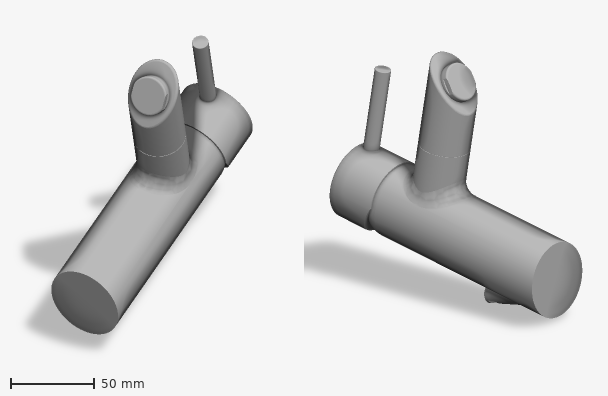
import cadquery as cq
import math

tilt = 10.0

pick_margin = 1.0

body_radius = 23.25
body_length = 126.2
dome_arc_radius = 16.0

cap_radius = 24.25
cap_front = 129.4
cap_back = 162.35
cap_edge_fillet = 1.7
relief_slope = 24.0

lever_radius = 5.0
lever_position = 153.7
lever_top = 77.6
lever_tip_fillet = 0.4
lever_root_fillet = 0.8

spout_radius = 15.95
spout_position = 99.3
spout_mouth_height = 93.5
spout_mouth_slope = 43.4
spout_mouth_curve = 180.0
spout_rim_fillet = 1.5
spout_root_front = 8.4
spout_root_side = 14.0
spout_root_back = 5.2
joint_height = 49.2
joint_groove_depth = 0.35
joint_groove_width = 0.4

aerator_radius = 12.0
aerator_elevation = 40.0
aerator_position = 93.4
aerator_height = 94.6
aerator_length = 8.0
aerator_edge_fillet = 1.2
flat_across = 21.7
flat_depth = 3.0

guide_radius = 5.7
guide_position = 48.5
guide_height = -29.4
guide_slope = 20.0
guide_length = 45.0
guide_notch_width = 7.4
guide_notch_floor = 3.6
guide_notch_depth = 2.6
guide_lip = 2.0


def rod(radius, start, direction, length):
    """Cylinder running from a start point along a direction."""
    cylinder = cq.Solid.makeCylinder(radius, length, cq.Vector(*start), cq.Vector(*direction))
    return cq.Workplane(cylinder)


def make_body():
    """Body cylinder; its front end is a vertical plane once the tap is tilted."""
    overrun = body_radius
    blank = rod(body_radius, (0, -overrun, 0), (0, 1, 0), body_length + overrun)
    front_cut = (
        cq.Workplane("XY")
        .box(4 * body_radius, 2 * overrun, 4 * body_radius)
        .translate((0, -overrun, 0))
        .rotate((0, 0, 0), (1, 0, 0), -tilt)
    )
    return blank.cut(front_cut)


def make_dome():
    """Rounded back end of the body, tangent to its cylinder."""
    return (
        cq.Workplane("XY")
        .moveTo(0, body_length)
        .lineTo(body_radius, body_length)
        .radiusArc((body_radius - dome_arc_radius, body_length + dome_arc_radius), -dome_arc_radius)
        .lineTo(0, body_length + dome_arc_radius)
        .close()
        .revolve(360, (0, 0, 0), (0, 1, 0))
    )


def make_cap():
    """Cap with its lower front edge cut back at a slope."""
    cap = rod(cap_radius, (0, cap_front, 0), (0, 1, 0), cap_back - cap_front)
    cap = cap.faces(">Y").edges().fillet(cap_edge_fillet)
    relief_height = 2 * cap_radius
    relief_run = relief_height * math.tan(math.radians(relief_slope))
    relief = (
        cq.Workplane("YZ")
        .polyline([(cap_front, 0), (cap_front + relief_run, -relief_height), (cap_front, -relief_height)])
        .close()
        .extrude(cap_radius, both=True)
    )
    return cap.cut(relief)


def add_lever(cap):
    """Upright round lever with a small fillet where it meets the cap."""
    lever = rod(lever_radius, (0, lever_position, 0), (0, 0, 1), lever_top)
    lever = lever.faces(">Z").edges().fillet(lever_tip_fillet)
    root_zone = cq.selectors.BoxSelector(
        (-cap_radius / 2, lever_position - 2 * lever_radius, cap_radius / 2),
        (cap_radius / 2, lever_position + 2 * lever_radius, cap_radius + pick_margin),
        boundingbox=True,
    )
    return cap.union(lever).edges(root_zone).fillet(lever_root_fillet)


def add_spout_root(body):
    """Lower spout with a root fillet that is widest at the sides and tightest at the back."""
    stub_base = cq.Vector(0, spout_position, 0)
    upward = cq.Vector(0, 0, 1)
    half_stub = cq.Solid.makeCylinder(spout_radius, joint_height, stub_base, upward, 180)
    joined = body
    for turn in (0, 180):
        half = half_stub.rotate(stub_base, stub_base + upward, turn)
        joined = joined.union(cq.Workplane(half), clean=False)
    pick_reach = spout_radius + pick_margin
    root_zone = cq.selectors.BoxSelector(
        (-pick_reach, spout_position - pick_reach, 0),
        (pick_reach, spout_position + pick_reach, body_radius + pick_margin),
        boundingbox=True,
    )
    root_edges = joined.edges(root_zone)
    root_vertices = root_edges.vertices()
    radii = [
        ("<Y", spout_root_front),
        (">Y", spout_root_back),
        ("<X", spout_root_side),
        (">X", spout_root_side),
    ]
    blend = cq.occ_impl.shapes.BRepFilletAPI_MakeFillet(joined.val().wrapped)
    contour = 1
    blend.Add(root_edges.val().wrapped)
    for end, radius in radii:
        blend.SetRadius(radius, contour, root_vertices.vertices(end).val().wrapped)
    return cq.Workplane(cq.Shape.cast(blend.Shape()))


def make_spout_end():
    """Upper spout with a sloping, slightly domed mouth, and the ring that grooves the joint below it."""
    tube_length = spout_mouth_height - joint_height + 2 * spout_radius
    tube = rod(spout_radius, (0, spout_position, joint_height), (0, 0, 1), tube_length)
    slope = math.radians(spout_mouth_slope)
    mouth_axis = (
        -2 * spout_radius,
        spout_position + spout_mouth_curve * math.sin(slope),
        spout_mouth_height - spout_mouth_curve * math.cos(slope),
    )
    mouth = rod(spout_mouth_curve, mouth_axis, (1, 0, 0), 4 * spout_radius)
    tube = tube.intersect(mouth)
    tube = tube.faces(cq.selectors.DirectionMinMaxSelector(cq.Vector(0, -1, 1), True))
    tube = tube.edges().fillet(spout_rim_fillet)
    groove_base = (0, spout_position, joint_height - joint_groove_width)
    neck = rod(spout_radius - joint_groove_depth, groove_base, (0, 0, 1), joint_groove_width)
    groove = rod(2 * spout_radius, groove_base, (0, 0, 1), joint_groove_width).cut(neck)
    return tube, groove


def make_aerator():
    """Aerator with two flats for a wrench on its sides."""
    aerator = cq.Workplane("XY").circle(aerator_radius).extrude(-aerator_length)
    aerator = aerator.faces(">Z").edges().fillet(aerator_edge_fillet)
    for side in (-1, 1):
        flat = (
            cq.Workplane("XY")
            .box(aerator_radius, 2 * aerator_radius, 2 * flat_depth)
            .translate((side * (flat_across + aerator_radius) / 2, 0, 0))
        )
        aerator = aerator.cut(flat)
    turn = 90 - aerator_elevation
    return aerator.rotate((0, 0, 0), (1, 0, 0), turn).translate((0, aerator_position, aerator_height))


def make_drain_rod_guide():
    """Sloping rod under the body with a notch that leaves a lip at its end."""
    guide = cq.Workplane("XZ").circle(guide_radius).extrude(guide_length)
    notch_top = guide_notch_depth - guide_radius
    notch = (
        cq.Workplane("YZ")
        .polyline([
            (-guide_lip, -guide_radius),
            (-guide_lip, notch_top),
            (-guide_lip - guide_notch_floor, notch_top),
            (-guide_lip - guide_notch_width, -guide_radius),
        ])
        .close()
        .extrude(guide_radius, both=True)
    )
    guide = guide.cut(notch)
    return guide.rotate((0, 0, 0), (1, 0, 0), -guide_slope).translate((0, guide_position, guide_height))


body = add_spout_root(make_body())
spout_end, joint_groove = make_spout_end()
tap = (
    body.union(make_dome())
    .union(add_lever(make_cap()))
    .union(spout_end)
    .cut(joint_groove)
    .union(make_aerator())
    .union(make_drain_rod_guide())
)
result = tap.rotate((0, 0, 0), (1, 0, 0), tilt)